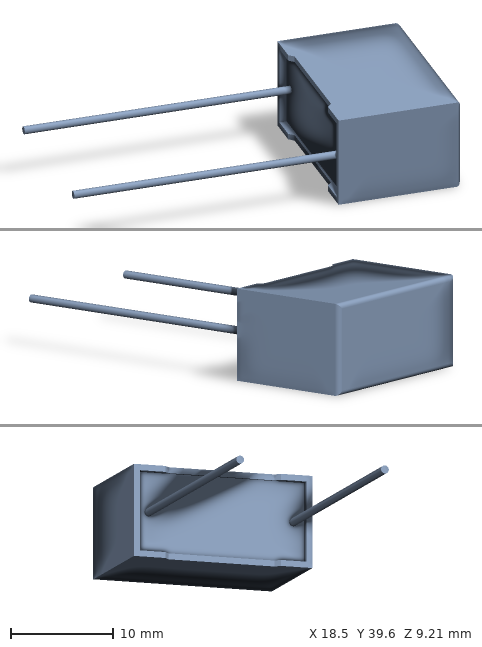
import cadquery as cq


case_width = 18.5
case_height = 9.21
overall_length = 39.6

case_depth = 12.7
wall = 0.6
back_edge_radius = 0.5

notch_depth = 0.5
notch_floor_width = 11.0
notch_mouth_width = notch_floor_width + 2 * notch_depth

fill_recess = 0.75
cavity_width = case_width - 2 * wall
cavity_height = case_height - 2 * wall
cavity_depth = case_depth - wall

lead_diameter = 0.8
lead_pitch = 15.0
lead_tip_y = case_depth - overall_length
lead_length = fill_recess - lead_tip_y


def block(width, height, front_y, back_y):
    """Block centred on X and Z, spanning front_y to back_y."""
    depth = back_y - front_y
    return cq.Workplane("XY").box(width, depth, height).translate((0, front_y + depth / 2, 0))


def make_notch_cutter():
    """Trapezoidal bar that cuts the rim notches through both long walls."""
    return (
        cq.Workplane("XY")
        .moveTo(-notch_mouth_width / 2, 0)
        .lineTo(-notch_floor_width / 2, notch_depth)
        .lineTo(notch_floor_width / 2, notch_depth)
        .lineTo(notch_mouth_width / 2, 0)
        .close()
        .extrude(case_height / 2, both=True)
    )


def make_case():
    """Thin-walled case, rounded around its closed back, with a notched rim."""
    shell = block(case_width, case_height, 0, case_depth)
    shell = shell.faces(">Y").edges().fillet(back_edge_radius)
    cavity = block(cavity_width, cavity_height, 0, cavity_depth)
    return shell.cut(cavity).cut(make_notch_cutter())


def make_fill():
    """Potting block that fills the cavity up to the recessed front face."""
    return block(cavity_width, cavity_height, fill_recess, cavity_depth)


def make_lead(x):
    """Round wire standing on the fill's front face and running toward -Y."""
    return (
        cq.Workplane("XZ", origin=(x, fill_recess, 0))
        .circle(lead_diameter / 2)
        .extrude(lead_length)
    )


case = make_case()
fill = make_fill()
leads = [make_lead(side * lead_pitch / 2) for side in (-1, 1)]

result = cq.Compound.makeCompound([case.val(), fill.val(), *[lead.val() for lead in leads]])